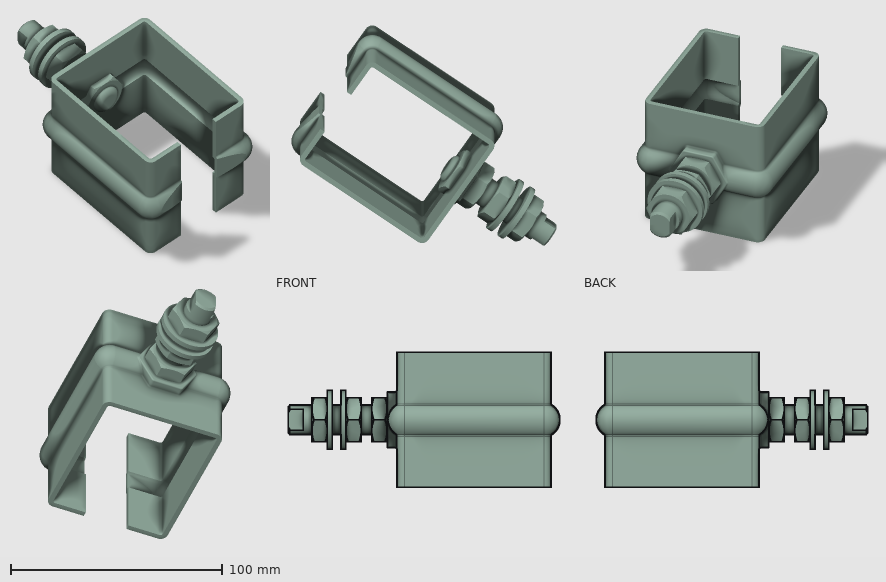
import cadquery as cq
import math

sheet = 2.5
clamp_length = 73.0
clamp_width = 61.0
clamp_height = 64.0
corner_radius = 3.6
mouth_width = 22.0

bead_height = 4.1
bead_radius = 8.2
bead_root_radius = 1.0
lip_bead_height = 0.9
lip_bead_sheet = 2.0

boss_flats = 26.5
boss_height = 4.6
boss_edge_radius = 1.5
boss_rim_radius = 0.6
boss_root_radius = 0.8

stud_diameter = 14.0
stud_length = 60.0
stud_tip_diameter = 11.8
stud_tip_chamfer = 0.9
stud_end_diameter = 8.0
stud_end_length = 2.0
flats_width = 10.0
flats_length = 7.1

nut_flats = 21.0
nut_thickness = 7.2
nut_chamfer_angle = 30
washer_diameter = 28.0
washer_thickness = 2.5
clearance_hole = 14.1

overall_length = 128.6
axis_y = 0.4
stud_start = clamp_length + bead_height - overall_length
outer_nut_start = stud_start + 11.3
outer_washer_start = outer_nut_start + nut_thickness
inner_washer_start = stud_start + 25.0
middle_nut_start = inner_washer_start + washer_thickness
boss_nut_start = -boss_height - nut_thickness
inner_nut_start = -1.5

mid_x = clamp_length / 2
half_width = clamp_width / 2
bead_axis_depth = bead_radius - bead_height
inner_corner_radius = corner_radius - sheet
hexagon_corner_ratio = 2 / math.sqrt(3)


def x_cylinder(start, length, diameter):
    return cq.Workplane("YZ", origin=(start, axis_y, 0)).circle(diameter / 2).extrude(length)


def x_hexagon(start, length, across_flats):
    across_corners = across_flats * hexagon_corner_ratio
    return cq.Workplane("YZ", origin=(start, axis_y, 0)).polygon(6, across_corners).extrude(length)


def rounded_box(inset, radius):
    return (
        cq.Workplane("XY", origin=(mid_x, 0, -clamp_height / 2))
        .rect(clamp_length - 2 * inset, clamp_width - 2 * inset)
        .extrude(clamp_height)
        .edges("|Z")
        .fillet(radius)
    )


def bead_ring(section):
    """Carry a section drawn at the middle of the -Y wall once around the clamp."""
    x_straight = clamp_length - corner_radius
    y_straight = half_width - corner_radius
    path = (
        cq.Workplane("XY")
        .moveTo(mid_x, -half_width)
        .lineTo(x_straight, -half_width)
        .radiusArc((clamp_length, -y_straight), -corner_radius)
        .lineTo(clamp_length, y_straight)
        .radiusArc((x_straight, half_width), -corner_radius)
        .lineTo(corner_radius, half_width)
        .radiusArc((0, y_straight), -corner_radius)
        .lineTo(0, -y_straight)
        .radiusArc((corner_radius, -half_width), -corner_radius)
        .close()
    )
    return section.sweep(path)


def outer_bead():
    """Round bead with a fillet at each root; its foot is buried in the sheet."""
    reach = bead_radius + bead_root_radius
    root_z = math.sqrt(reach**2 - (bead_axis_depth + bead_root_radius) ** 2)
    tangent_z = root_z * bead_radius / reach
    tangent_rise = math.sqrt(bead_radius**2 - tangent_z**2) - bead_axis_depth
    foot_y = -half_width + sheet / 2
    tangent_y = -half_width - tangent_rise
    section = (
        cq.Workplane("YZ", origin=(mid_x, 0, 0))
        .moveTo(foot_y, -root_z)
        .lineTo(-half_width, -root_z)
        .radiusArc((tangent_y, -tangent_z), -bead_root_radius)
        .threePointArc((-half_width - bead_height, 0), (tangent_y, tangent_z))
        .radiusArc((-half_width, root_z), -bead_root_radius)
        .lineTo(foot_y, root_z)
        .close()
    )
    return bead_ring(section).cut(lip_taper(0))


def inner_bead():
    """Hollow behind the bead, one sheet thickness inside its outer surface."""
    hollow_radius = bead_radius - sheet
    foot_depth = (sheet + corner_radius) / 2
    foot_z = math.sqrt(hollow_radius**2 - (bead_axis_depth - foot_depth) ** 2)
    foot_y = -half_width + foot_depth
    crest_y = -half_width - bead_height + sheet
    section = (
        cq.Workplane("YZ", origin=(mid_x, 0, 0))
        .moveTo(foot_y, -foot_z)
        .threePointArc((crest_y, 0), (foot_y, foot_z))
        .close()
    )
    return bead_ring(section).cut(lip_taper(lip_bead_sheet))


def lip_taper(inset):
    """Space outside the sloping planes that flatten the bead toward the lip ends."""
    crest_x = clamp_length + bead_height - inset
    end_x = clamp_length + lip_bead_height - inset
    corner_y = half_width - corner_radius
    end_y = mouth_width / 2
    return (
        cq.Workplane("XY", origin=(0, 0, -bead_radius))
        .polyline([(crest_x, -corner_y), (end_x, -end_y), (end_x, end_y), (crest_x, corner_y)])
        .close()
        .extrude(2 * bead_radius)
    )


def boss():
    """Hexagonal boss with rounded corners and rim; it starts inside the back wall."""
    return (
        x_hexagon(-boss_height, boss_height + sheet / 2, boss_flats)
        .edges("|X")
        .fillet(boss_edge_radius)
        .faces("<X")
        .edges()
        .fillet(boss_rim_radius)
    )


def join_with_fillet(base, added, radius):
    """Join two shapes and fillet every edge where their surfaces meet."""
    seam_tolerance = 0.0001
    joined = base.union(added)
    seam = []
    for edge in joined.edges().vals():
        middle = cq.Vertex.makeVertex(*edge.positionAt(0.5).toTuple())
        if max(middle.distance(base.val()), middle.distance(added.val())) < seam_tolerance:
            seam.append(edge)
    return cq.Workplane(joined.val().fillet(radius, seam))


def make_clamp():
    beaded_box = rounded_box(0, corner_radius).union(outer_bead())
    outside = join_with_fillet(beaded_box, boss(), boss_root_radius)
    cavity = rounded_box(sheet, inner_corner_radius).union(inner_bead())
    recess_floor = sheet - boss_height
    recess = x_hexagon(recess_floor, corner_radius - recess_floor, boss_flats - 2 * sheet)
    bore = x_cylinder(-boss_height, boss_height, clearance_hole)
    mouth = (
        cq.Workplane("XY")
        .box(2 * (sheet + bead_height), mouth_width, clamp_height)
        .translate((clamp_length, 0, 0))
    )
    return outside.cut(cavity).cut(recess).cut(bore).cut(mouth)


def stud_end_envelope():
    """Plain cylinder whose inner end is rounded by an arc that meets the end flat smoothly."""
    end = stud_start + stud_length
    radius = stud_diameter / 2
    radial_drop = (stud_diameter - stud_end_diameter) / 2
    arc_radius = (radial_drop**2 + stud_end_length**2) / (2 * stud_end_length)
    return (
        cq.Workplane("XY", origin=(0, axis_y, 0))
        .moveTo(stud_start, 0)
        .lineTo(stud_start, radius)
        .lineTo(end - stud_end_length, radius)
        .radiusArc((end, radius - radial_drop), arc_radius)
        .lineTo(end, 0)
        .close()
        .revolve(360, (0, 0, 0), (1, 0, 0))
    )


def make_stud():
    stud = x_cylinder(stud_start, stud_length, stud_diameter)
    tip_inset = (stud_diameter - stud_tip_diameter) / 2
    stud = stud.faces("<X").chamfer(stud_tip_chamfer, tip_inset)
    stud = stud.intersect(stud_end_envelope())
    for side in (-1, 1):
        cut_y = axis_y + side * (flats_width + stud_diameter) / 2
        flat_cut = (
            cq.Workplane("XY")
            .box(flats_length, stud_diameter, stud_diameter)
            .translate((stud_start + flats_length / 2, cut_y, 0))
        )
        stud = stud.cut(flat_cut)
    return stud


def make_nut(start):
    """Hexagon nut whose corners are cut by a cone at both ends."""
    flat_radius = nut_flats / 2
    corner_reach = flat_radius * hexagon_corner_ratio
    cone_length = (corner_reach - flat_radius) * math.tan(math.radians(nut_chamfer_angle))
    end = start + nut_thickness
    envelope = (
        cq.Workplane("XY", origin=(0, axis_y, 0))
        .polyline([
            (start, 0),
            (start, flat_radius),
            (start + cone_length, corner_reach),
            (end - cone_length, corner_reach),
            (end, flat_radius),
            (end, 0),
        ])
        .close()
        .revolve(360, (0, 0, 0), (1, 0, 0))
    )
    blank = x_hexagon(start, nut_thickness, nut_flats).intersect(envelope)
    return blank.cut(x_cylinder(start, nut_thickness, stud_diameter))


def make_washer(start):
    disc = x_cylinder(start, washer_thickness, washer_diameter)
    return disc.cut(x_cylinder(start, washer_thickness, clearance_hole))


clamp = make_clamp()
stud = make_stud()
nuts = [
    make_nut(start)
    for start in (outer_nut_start, middle_nut_start, boss_nut_start, inner_nut_start)
]
washers = [make_washer(start) for start in (outer_washer_start, inner_washer_start)]

bodies = [clamp, stud, *nuts, *washers]
result = cq.Compound.makeCompound([body.solids().val() for body in bodies])